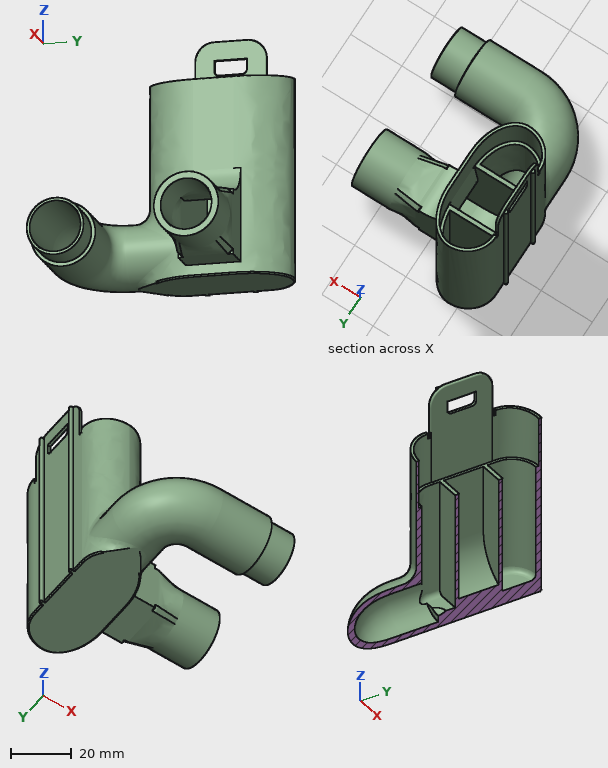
import cadquery as cq

back_x = 1.1
crown_x = 12.7
front_x = 24.3
half_length = 24.42
flat_back_half = 13.5
flat_front_half = 6.9
rim_back_z = 69.7
rim_front_z = 67.5
bottom_chamfer = 0.5
bottom_chamfer_end_y = -20.7

wall = 2.28
rim_wall = 1.1
ledge_z = 50.0
floor_z = 5.6
floor_fillet = 1.9
partition_inner = 7.7
partition_outer = 9.3
ramp_radius = 18.1

plate_thickness = 1.16
plate_top_z = 86.1
tab_half_width = 12.15
tab_base_z = 67.7
tab_corner = 6.55
tab_edge_fillet = 0.4
slot_outer = 13.2
window_width = 11.1
window_bottom_z = 74.5
window_height = 5.2
window_corner = 1.55
rib_inner = 7.6
rib_outer = 8.9
rib_top_z = 85.0
rib_end_chamfer = 0.5
rib_edge_fillet = 0.35

pipe_diameter = 22.0
pipe_radius = pipe_diameter / 2
spigot_diameter = 19.4
bore_diameter = 17.4

bent_pipe_z = pipe_radius
bend_radius = 15.1
bent_pipe_y = -45.0
bend_start_y = bent_pipe_y + bend_radius
bend_end_x = crown_x + bend_radius
spigot_start_x = 47.6
spigot_end_x = 57.8
bent_bore_start_y = -15.85
junction_fillet = 4.8
dimple_radius = 6.9
dimple_depth = 1.0
dimple_y = -16.5

outlet_z = 15.0
collar_start_x = 34.0
duct_end_x = 35.3
outlet_start_x = 44.3
outlet_end_x = 59.2
duct_top_z = 26.2
duct_bottom_z = outlet_z - pipe_radius
duct_corner = 9.9
collar_chamfer = 1.6


def tube(inset, bottom_z, top_z):
    """Upright prism of the body outline, moved inward by inset."""
    back = crown_x - back_x - inset
    front = front_x - crown_x - inset
    end = half_length - inset
    back_end = end - flat_back_half
    front_end = end - flat_front_half
    outline = (
        cq.Workplane("XY", origin=(0, 0, bottom_z))
        .moveTo(crown_x + front, -flat_front_half)
        .lineTo(crown_x + front, flat_front_half)
        .ellipseArc(front, front_end, 0, 90, sense=1)
        .ellipseArc(back, back_end, 90, 180, sense=1)
        .lineTo(crown_x - back, -flat_back_half)
        .ellipseArc(back, back_end, 180, 270, sense=1)
        .ellipseArc(front, front_end, 270, 360, sense=1)
        .close()
    )
    return outline.extrude(top_z - bottom_z)


def box(x_range, y_range, z_range):
    """Box between the given limits."""
    sides = [high - low for low, high in (x_range, y_range, z_range)]
    corner = (x_range[0], y_range[0], z_range[0])
    return cq.Workplane("XY").box(*sides, centered=False).translate(corner)


def rod(diameter, start_x, end_x, y, z):
    """Cylinder along X."""
    return cq.Workplane("YZ", origin=(start_x, y, z)).circle(diameter / 2).extrude(end_x - start_x)


def lead_rod(diameter, start_y):
    """Cylinder along -Y from start_y to the beginning of the bend."""
    circle = cq.Workplane("XZ", origin=(crown_x, start_y, bent_pipe_z)).circle(diameter / 2)
    return circle.extrude(start_y - bend_start_y)


def bent_rod(diameter, end_x):
    """Quarter bend from -Y to +X, then straight along +X."""
    bend = (
        cq.Workplane("XZ", origin=(crown_x, bend_start_y, bent_pipe_z))
        .circle(diameter / 2)
        .revolve(90, (bend_radius, 0, 0), (bend_radius, 1, 0))
    )
    return bend.union(rod(diameter, bend_end_x, end_x, bent_pipe_y, bent_pipe_z))


def body_with_pipe():
    """Solid body blended into the bent pipe and cut off at the underside."""
    stub = (
        cq.Workplane("XZ", origin=(crown_x, 0, bent_pipe_z))
        .moveTo(-pipe_radius, 0)
        .threePointArc((0, pipe_radius), (pipe_radius, 0))
        .threePointArc((0, -pipe_radius), (-pipe_radius, 0))
        .close()
        .extrude(-bend_start_y)
    )
    body = tube(0, -pipe_diameter, rim_back_z).union(stub, clean=False)
    junction = cq.selectors.BoxSelector(
        (0, -half_length, 0), (front_x, -flat_back_half, pipe_diameter)
    )
    body = body.edges(junction).fillet(junction_fillet)
    body = body.intersect(box((0, front_x), (bend_start_y, half_length), (0, rim_back_z)))
    return body.union(bent_rod(pipe_diameter, spigot_start_x)).union(
        rod(spigot_diameter, spigot_start_x, spigot_end_x, bent_pipe_y, bent_pipe_z)
    )


def bottom_trim():
    """Material removed by the chamfer around the underside of the body."""
    foot = tube(0, 0, 2 * bottom_chamfer)
    trim = foot.cut(foot.faces("<Z").chamfer(bottom_chamfer))
    clear_of_pipe = box((0, front_x), (bottom_chamfer_end_y, half_length), (0, 2 * bottom_chamfer))
    return trim.intersect(clear_of_pipe)


def duct():
    """Rectangular duct with a concave top, then a transition to the round outlet."""
    side = (
        cq.Workplane("XZ", origin=(0, partition_outer, 0))
        .moveTo(crown_x, duct_bottom_z)
        .lineTo(collar_start_x, duct_bottom_z)
        .lineTo(collar_start_x, duct_top_z)
        .lineTo(front_x + duct_corner, duct_top_z)
        .radiusArc((front_x, duct_top_z + duct_corner), duct_corner)
        .lineTo(crown_x, duct_top_z + duct_corner)
        .close()
        .extrude(2 * partition_outer)
    )
    collar = box(
        (collar_start_x, duct_end_x), (-partition_outer, partition_outer), (duct_bottom_z, duct_top_z)
    )
    collar = collar.edges("|X").chamfer(collar_chamfer)
    transition = (
        collar.faces(">X")
        .wires()
        .toPending()
        .workplane(offset=outlet_start_x - duct_end_x, origin=(duct_end_x, 0, outlet_z))
        .circle(pipe_radius)
        .loft()
    )
    outlet = rod(pipe_diameter, outlet_start_x, outlet_end_x, 0, outlet_z)
    return side.union(collar).union(transition).union(outlet)


def chamber(y_range):
    """Closed-bottomed part of the cavity, rounded along its floor."""
    cavity = tube(wall, floor_z, ledge_z).faces("<Z").edges().fillet(floor_fillet)
    return cavity.intersect(box((0, front_x), y_range, (floor_z, ledge_z)))


def outlet_channel():
    """Passage between the partitions: a curved ramp into the duct and out through the outlet."""
    bore_bottom = outlet_z - bore_diameter / 2
    bore_top = outlet_z + bore_diameter / 2
    back = back_x + wall
    corner_x = front_x + duct_corner
    corner_radius = duct_corner + duct_top_z - bore_top
    side = (
        cq.Workplane("XZ", origin=(0, partition_inner, 0))
        .moveTo(back, ledge_z)
        .lineTo(back, bore_bottom + ramp_radius)
        .radiusArc((back + ramp_radius, bore_bottom), -ramp_radius)
        .lineTo(duct_end_x, bore_bottom)
        .lineTo(duct_end_x, bore_top)
        .lineTo(corner_x, bore_top)
        .radiusArc((corner_x - corner_radius, bore_top + corner_radius), corner_radius)
        .lineTo(front_x - rim_wall, ledge_z)
        .close()
        .extrude(2 * partition_inner)
    )
    transition = (
        cq.Workplane("YZ", origin=(duct_end_x, 0, outlet_z))
        .rect(2 * partition_inner, bore_diameter)
        .workplane(offset=outlet_start_x - duct_end_x)
        .circle(bore_diameter / 2)
        .loft()
    )
    bore = rod(bore_diameter, outlet_start_x, outlet_end_x, 0, outlet_z)
    return side.union(transition).union(bore)


def bent_bore():
    """Bore of the bent pipe, with a shallow dimple where it meets the chamber floor."""
    dimple = cq.Workplane("XY").sphere(dimple_radius).translate(
        (crown_x, dimple_y, floor_z + dimple_radius - dimple_depth)
    )
    bore = lead_rod(bore_diameter, bent_bore_start_y).union(bent_rod(bore_diameter, spigot_end_x))
    return bore.union(dimple)


def above_rim():
    """Everything above the slanted rim of the body."""
    return (
        cq.Workplane("XZ", origin=(0, half_length, 0))
        .moveTo(back_x, rim_back_z)
        .lineTo(back_x, plate_top_z)
        .lineTo(front_x, plate_top_z)
        .lineTo(front_x, rim_front_z)
        .close()
        .extrude(2 * half_length)
    )


def relief_slots():
    """Gaps between the handle tab and the rim on either side."""
    span = box((0, back_x + plate_thickness), (-slot_outer, slot_outer), (tab_base_z, plate_top_z))
    tab = box((0, back_x + plate_thickness), (-tab_half_width, tab_half_width), (tab_base_z, plate_top_z))
    return span.cut(tab)


def back_plate():
    """Handle tab continuing the flat back upward, with its window."""
    tab = box(
        (back_x, back_x + plate_thickness), (-tab_half_width, tab_half_width), (floor_z, plate_top_z)
    )
    tab = tab.edges("|X and >Z").fillet(tab_corner)
    tab = tab.edges("|Y and >X and >Z").fillet(tab_edge_fillet)
    window = box(
        (0, back_x + 2 * plate_thickness),
        (-window_width / 2, window_width / 2),
        (window_bottom_z, window_bottom_z + window_height),
    )
    window = window.edges("|X and <Z").fillet(window_corner)
    return tab.cut(window)


def guide_rib(side):
    """Upright rib on the back; side is +1 or -1 along Y."""
    y_range = sorted((side * rib_inner, side * rib_outer))
    rib = box((0, back_x + plate_thickness / 2), y_range, (0, rib_top_z))
    rib = rib.faces("<X").edges("<Z").chamfer(rib_end_chamfer)
    return rib.faces("<X").edges("|Z").fillet(rib_edge_fillet)


shell = body_with_pipe().cut(bottom_trim()).cut(above_rim()).union(duct())
shell = shell.cut(tube(rim_wall, ledge_z, rim_back_z))
for y_range in ((partition_outer, half_length), (-half_length, -partition_outer)):
    shell = shell.cut(chamber(y_range))
shell = shell.cut(outlet_channel()).cut(bent_bore()).cut(relief_slots())
result = shell.union(back_plate()).union(guide_rib(1)).union(guide_rib(-1))